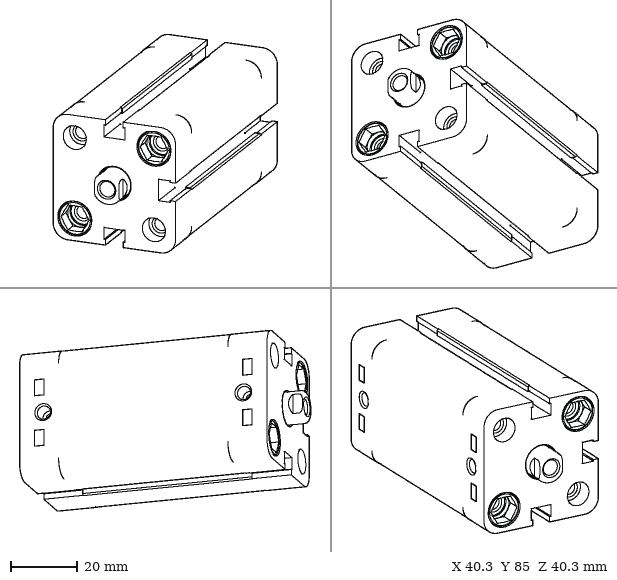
import cadquery as cq
import math


side = 40.3
half_side = side / 2
total_length = 85.0
rod_reach = 5.95
housing_length = total_length - rod_reach
cap_length = 12.5
barrel_length = housing_length - 2 * cap_length
cap_corner_radius = 4.85
barrel_corner_radius = 5.1

slot_width = 6.9
slot_depth = 5.6
slot_angles = (0, 90, 180)
cap_opening = 5.9
cap_lip = 1.8
barrel_opening = 5.35
barrel_lip = 2.0
barrel_lip_chamfer = 0.5
slot_floor_radius = 0.3

hole_offset = 13.0
through_diameter = 4.2
countersink_diameter = 5.35
bore_diameter = 7.6
bore_depth = 5.0

screw_recess_diameter = 11.1
screw_recess_depth = 1.0
screw_head_diameter = 10.8
screw_head_drop = 0.2
screw_rim_chamfer = 0.3
socket_across_flats = 8.0
socket_round_diameter = 8.2
socket_hex_depth = 4.0
socket_relief_depth = 5.8
socket_relief_diameter = 8.0
socket_floor_diameter = 7.5

rod_diameter = 10.0
rod_tip_radius = 1.2
rod_gap_diameter = 10.5
rod_gap_depth = 2.0
rod_gap_mouth_diameter = 11.1
flats_across = 8.0
flats_start = 1.8
rod_thread_diameter = 4.9
rod_thread_mouth_diameter = 6.0
rod_thread_depth = 12.0
rod_thread_floor_diameter = 3.3

port_inset = 7.6
port_diameter = 4.2
port_mouth_diameter = 5.35
port_depth = 6.0
port_duct_diameter = 2.0
port_duct_depth = 8.0
label_inset = 6.3
label_length = 3.0
label_height = 5.0
label_offset = 8.0
label_depth = 0.2


def box_along_y(width, height, start, length):
    """Box centred on the Y axis from y = start to start + length."""
    return cq.Workplane("XY").box(width, length, height).translate((0, start + length / 2, 0))


def cylinder_y(diameter, start, end, x=0, z=0):
    """Cylinder parallel to Y between two y positions."""
    return cq.Workplane("XZ", origin=(x, start, z)).circle(diameter / 2).extrude(start - end)


def cone_solid(start_diameter, end_diameter, origin, direction):
    """45 degree cone that narrows from the first diameter to the second along a direction."""
    height = (start_diameter - end_diameter) / 2
    base = cq.Vector(*origin)
    axis = cq.Vector(*direction)
    return cq.Workplane(cq.Solid.makeCone(start_diameter / 2, end_diameter / 2, height, base, axis))


def slot_cutter(opening, lip, start, length):
    """T-slot cutter for the top face."""
    half_width = slot_width / 2
    half_opening = opening / 2
    floor_z = half_side - slot_depth
    lip_z = half_side - lip
    outline = [
        (-half_width, floor_z),
        (half_width, floor_z),
        (half_width, lip_z),
        (half_opening, lip_z),
        (half_opening, half_side),
        (-half_opening, half_side),
        (-half_opening, lip_z),
        (-half_width, lip_z),
    ]
    return cq.Workplane("XZ", origin=(0, start, 0)).polyline(outline).close().extrude(-length)


def barrel_slot_cutter(start, length):
    """T-slot cutter with a rounded floor and a chamfered mouth."""
    cutter = slot_cutter(barrel_opening, barrel_lip, start, length)
    cutter = cutter.faces("<Z").edges("|Y").fillet(slot_floor_radius)
    half_mouth = barrel_opening / 2 + barrel_lip_chamfer
    mouth = (
        cq.Workplane("XZ", origin=(0, start, 0))
        .moveTo(-half_mouth, half_side)
        .lineTo(half_mouth, half_side)
        .lineTo(barrel_opening / 2, half_side - barrel_lip_chamfer)
        .lineTo(-barrel_opening / 2, half_side - barrel_lip_chamfer)
        .close()
        .extrude(-length)
    )
    return cutter.union(mouth)


def housing_section(start, length, corner_radius, cutter):
    """Rounded square length of housing with its slots."""
    section = box_along_y(side, side, start, length).edges("|Y").fillet(corner_radius)
    for angle in slot_angles:
        section = section.cut(cutter.rotate((0, 0, 0), (0, 1, 0), angle))
    return section


def cap(start):
    """End cap with plain T-slots."""
    cutter = slot_cutter(cap_opening, cap_lip, start, cap_length)
    return housing_section(start, cap_length, cap_corner_radius, cutter)


def barrel():
    """Profiled barrel between the two caps."""
    cutter = barrel_slot_cutter(cap_length, barrel_length)
    return housing_section(cap_length, barrel_length, barrel_corner_radius, cutter)


def through_hole(x, z, floor_y):
    """Through hole whose countersink starts on a floor at y = floor_y."""
    hole = cylinder_y(through_diameter, floor_y, housing_length, x, z)
    return hole.union(cone_solid(countersink_diameter, through_diameter, (x, floor_y, z), (0, 1, 0)))


def clearance_hole_cutter(x, z):
    """Counterbored through hole."""
    return cylinder_y(bore_diameter, 0, bore_depth, x, z).union(through_hole(x, z, bore_depth))


def screw_head(x, z):
    """Chamfered screw head that stands in its recess."""
    head = cylinder_y(screw_head_diameter, screw_head_drop, screw_recess_depth, x, z)
    return head.faces("<Y").chamfer(screw_rim_chamfer)


def screw_socket_cutter(x, z):
    """Hexagon socket scooped by a round bore, with a relief and the through hole below."""
    across_corners = socket_across_flats / math.cos(math.pi / 6)
    hexagon = cq.Workplane("XZ", origin=(x, 0, z)).polygon(6, across_corners).extrude(-socket_hex_depth)
    scoop = cylinder_y(socket_round_diameter, 0, socket_hex_depth, x, z)
    relief = cylinder_y(socket_relief_diameter, socket_hex_depth, socket_relief_depth, x, z)
    floor_origin = (x, socket_relief_depth, z)
    floor = cone_solid(socket_relief_diameter, socket_floor_diameter, floor_origin, (0, 1, 0))
    floor_y = socket_relief_depth + (socket_relief_diameter - socket_floor_diameter) / 2
    return hexagon.union(scoop).union(relief).union(floor).union(through_hole(x, z, floor_y))


def flats_envelope():
    """Prism around the rod that narrows to the wrench flats through 45 degree ramps."""
    wide = rod_diameter / 2
    narrow = flats_across / 2
    ramp_end = -flats_start - (wide - narrow)
    outline = [
        (-wide, rod_gap_depth),
        (wide, rod_gap_depth),
        (wide, -flats_start),
        (narrow, ramp_end),
        (narrow, -rod_reach),
        (-narrow, -rod_reach),
        (-narrow, ramp_end),
        (-wide, -flats_start),
    ]
    return cq.Workplane("XY").polyline(outline).close().extrude(wide, both=True)


def rod():
    """Solid piston rod with a rounded tip and wrench flats."""
    body = cylinder_y(rod_diameter, -rod_reach, rod_gap_depth)
    body = body.faces("<Y").edges().fillet(rod_tip_radius)
    return body.intersect(flats_envelope())


def rod_bore_cutter():
    """Blind bore with a chamfered mouth and a flat-tipped conical floor."""
    bore_end = rod_thread_depth - rod_reach
    bore = cylinder_y(rod_thread_diameter, -rod_reach, bore_end)
    mouth = cone_solid(rod_thread_mouth_diameter, rod_thread_diameter, (0, -rod_reach, 0), (0, 1, 0))
    floor = cone_solid(rod_thread_diameter, rod_thread_floor_diameter, (0, bore_end, 0), (0, 1, 0))
    return bore.union(mouth).union(floor)


def rod_gap_cutter():
    """Ring-shaped space around the rod, opened by a chamfer in the cap face."""
    gap = cylinder_y(rod_gap_diameter, 0, rod_gap_depth)
    return gap.union(cone_solid(rod_gap_mouth_diameter, rod_gap_diameter, (0, 0, 0), (0, 1, 0)))


def port_cutter(y):
    """Stepped air port with a chamfered mouth."""
    def drill(diameter, depth):
        return cq.Workplane("YZ", origin=(-half_side, y, 0)).circle(diameter / 2).extrude(depth)

    mouth = cone_solid(port_mouth_diameter, port_diameter, (-half_side, y, 0), (1, 0, 0))
    return drill(port_diameter, port_depth).union(drill(port_duct_diameter, port_duct_depth)).union(mouth)


def label_cutter(y, z):
    """Shallow rectangular recess in the -X face."""
    recess = cq.Workplane("XY").box(2 * label_depth, label_length, label_height)
    return recess.translate((-half_side, y, z))


result = cap(0).union(barrel()).union(cap(cap_length + barrel_length))

for corner in (-1, 1):
    offset = corner * hole_offset
    result = result.cut(clearance_hole_cutter(offset, -offset))
    result = result.cut(cylinder_y(screw_recess_diameter, 0, screw_recess_depth, offset, offset))
    result = result.union(screw_head(offset, offset))
    result = result.cut(screw_socket_cutter(offset, offset))

for port_y, label_y in (
    (port_inset, label_inset),
    (housing_length - port_inset, housing_length - label_inset),
):
    result = result.cut(port_cutter(port_y))
    for label_z in (-label_offset, label_offset):
        result = result.cut(label_cutter(label_y, label_z))

result = result.cut(rod_gap_cutter()).union(rod()).cut(rod_bore_cutter())